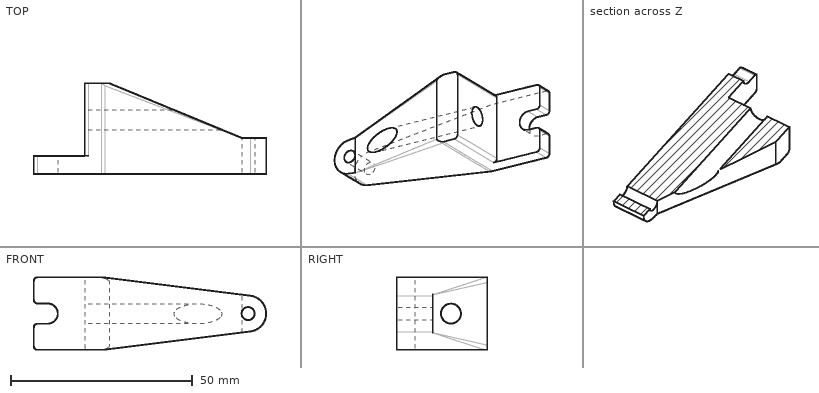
import cadquery as cq
import math

length = 64.0
depth = 25.0
half_width = 20.0 / 2

tip_radius = 5.0
tip_x = length - tip_radius
bend_x = 18.6
bend_radius = 7.15
corner_radius = 1.0

plate_thickness = 5.0
tip_depth = 2 * tip_radius
block_x = 14.0
slope_start_x = 20.8
slope_end_x = 57.2

pivot_diameter = 3.5
bolt_diameter = 5.45
bolt_y = 15.0
slot_width = 5.5
slot_end_x = 6.6

edge_radius = 1.2
fade_radius = 0.01
clearance = 0.65

bend_z = half_width - bend_radius
center_distance = math.hypot(tip_x - bend_x, bend_z)
center_angle = math.atan2(-bend_z, tip_x - bend_x)
normal_angle = center_angle + math.acos((bend_radius - tip_radius) / center_distance)


def arc_point(center_x, center_z, radius, angle):
    return center_x + radius * math.cos(angle), center_z + radius * math.sin(angle)


def mirrored(point):
    return point[0], -point[1]


bend_middle = arc_point(bend_x, bend_z, bend_radius, (math.pi / 2 + normal_angle) / 2)
taper_start = arc_point(bend_x, bend_z, bend_radius, normal_angle)
taper_end = arc_point(tip_x, 0, tip_radius, normal_angle)


def taper_z(x):
    return taper_start[1] - (x - taper_start[0]) / math.tan(normal_angle)


def slope_y(x):
    fraction = (x - slope_start_x) / (slope_end_x - slope_start_x)
    return depth + fraction * (tip_depth - depth)


def tapered_profile():
    """Profile seen along Y, extruded over the full depth."""
    return (
        cq.Workplane("XZ")
        .moveTo(0, half_width)
        .lineTo(bend_x, half_width)
        .threePointArc(bend_middle, taper_start)
        .lineTo(*taper_end)
        .threePointArc((length, 0), mirrored(taper_end))
        .lineTo(*mirrored(taper_start))
        .threePointArc(mirrored(bend_middle), (bend_x, -half_width))
        .lineTo(0, -half_width)
        .close()
        .extrude(-depth)
    )


def side_profile():
    """Plate, tall block and slope seen along Z."""
    return (
        cq.Workplane("XY")
        .polyline([
            (0, 0), (length, 0), (length, tip_depth), (slope_end_x, tip_depth),
            (slope_start_x, depth), (block_x, depth), (block_x, plate_thickness), (0, plate_thickness),
        ])
        .close()
        .extrude(half_width, both=True)
    )


def slot():
    slot_radius = slot_width / 2
    slot_center_x = slot_end_x - slot_radius
    straight = cq.Workplane("XY").box(
        slot_center_x, plate_thickness, slot_width, centered=(False, False, True)
    )
    round_end = (
        cq.Workplane("XZ").center(slot_center_x, 0).circle(slot_radius).extrude(-plate_thickness)
    )
    return straight.union(round_end)


def edge_section(x, radius):
    """Corner left outside a rounded edge, as a wire in the plane of constant x."""
    y = slope_y(x)
    z = taper_z(x)
    diagonal = radius * (1 - math.sqrt(0.5))
    outer = clearance
    return (
        cq.Workplane("YZ", origin=(x, 0, 0))
        .moveTo(y - radius, z)
        .threePointArc((y - diagonal, z - diagonal), (y, z - radius))
        .lineTo(y + outer, z - radius)
        .lineTo(y + outer, z + outer)
        .lineTo(y - radius, z + outer)
        .close()
        .val()
    )


def edge_cutter():
    wires = [edge_section(bend_x, edge_radius), edge_section(slope_end_x, fade_radius)]
    return cq.Workplane(cq.Solid.makeLoft(wires, True))


body = tapered_profile().intersect(side_profile())

cutter = edge_cutter()
body = body.cut(cutter).cut(cutter.mirror("XY"))

body = body.cut(slot())
body = body.edges("|Y").edges(cq.selectors.BoxSelector(
    (-clearance, -clearance, -depth), (clearance, depth, depth)
)).fillet(corner_radius)
body = body.edges("|Y").edges(cq.selectors.BoxSelector(
    (block_x - clearance, plate_thickness, -depth), (block_x + clearance, depth, depth)
)).fillet(corner_radius)

pivot_hole = cq.Workplane("XZ").center(tip_x, 0).circle(pivot_diameter / 2).extrude(-depth)
bolt_hole = cq.Workplane("YZ").center(bolt_y, 0).circle(bolt_diameter / 2).extrude(length)

result = body.cut(pivot_hole).cut(bolt_hole)